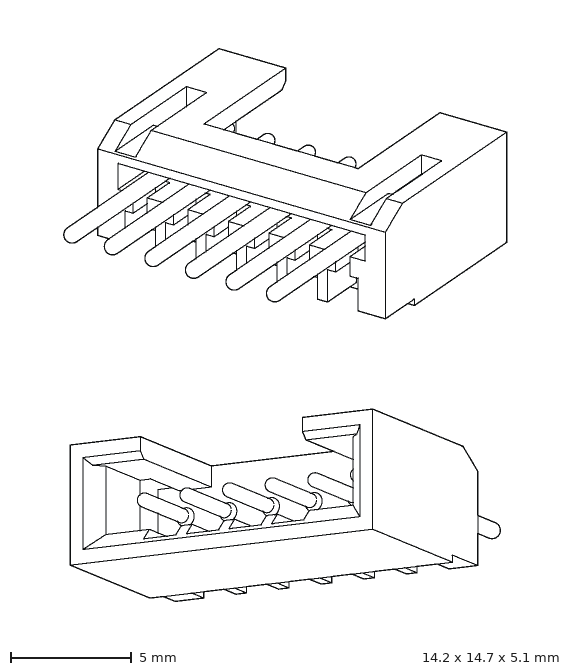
import cadquery as cq
import math

body_width = 14.2
body_depth = 9.2
body_height = 5.1
top_bevel_depth = 1.3
top_bevel_height = 0.8
foot_step_depth = 2.2
foot_step_height = 0.3

pin_count = 6
pin_pitch = 2.0
pin_height = 3.05
tail_radius = 0.35
tail_length = 5.5
contact_radius = 0.3
contact_tip_y = 6.9
collar_radius = 0.4
collar_length = 0.3

cavity_front_y = 3.0
mouth_rim = 0.6
floor_lead_in = 0.7
ceiling_lead_in = 0.3
groove_width = 1.5
groove_depth = 0.5

arm_gap_width = 7.6

recess_depth = foot_step_depth
narrow_slot_depth = 1.7
window_width = 12.2
window_bottom = 2.7
window_top = 3.9
narrow_slot_width = 0.7
wide_slot_width = 1.5
wide_slot_top = 1.8

latch_inner_x = 5.3
latch_width = 1.0
latch_front_y = 0.1
latch_rear_y = 5.5

cavity_floor = mouth_rim + floor_lead_in
cavity_ceiling = body_height - mouth_rim - ceiling_lead_in
cavity_half_width = body_width / 2 - mouth_rim - floor_lead_in
groove_floor = cavity_floor - groove_depth
bevel_base = body_height - top_bevel_height
latch_floor = bevel_base + latch_front_y * top_bevel_height / top_bevel_depth
pin_positions = [(i - (pin_count - 1) / 2) * pin_pitch for i in range(pin_count)]
inner_pin_positions = pin_positions[1:-1]


def block(x_min, x_max, y_min, y_max, z_min, z_max):
    """Axis-aligned box between two opposite corners."""
    size = (x_max - x_min, y_max - y_min, z_max - z_min)
    return cq.Workplane("XY").box(*size, centered=False).translate((x_min, y_min, z_min))


def centred_block(x_centre, width, y_min, y_max, z_min, z_max):
    """Axis-aligned box given by its centre and width along X."""
    return block(x_centre - width / 2, x_centre + width / 2, y_min, y_max, z_min, z_max)


def make_body():
    """Side profile with the front top bevel and the raised front foot, extruded along X."""
    profile = [
        (0, foot_step_height),
        (foot_step_depth, foot_step_height),
        (foot_step_depth, 0),
        (body_depth, 0),
        (body_depth, body_height),
        (top_bevel_depth, body_height),
        (0, bevel_base),
    ]
    return cq.Workplane("YZ").polyline(profile).close().extrude(body_width / 2, both=True)


def mouth_outline(inset):
    """Corner points of the mouth rectangle, with the floor and sides moved inward by the inset."""
    half_width = body_width / 2 - mouth_rim - inset
    bottom = mouth_rim + inset
    top = body_height - mouth_rim
    return [(-half_width, bottom), (half_width, bottom), (half_width, top), (-half_width, top)]


def make_lead_in():
    """Flared mouth at the rear: the floor and side bevels are longer than the ceiling bevel."""
    floor_and_sides = (
        cq.Workplane("XZ", origin=(0, body_depth, 0))
        .polyline(mouth_outline(0))
        .close()
        .workplane(offset=floor_lead_in)
        .polyline(mouth_outline(floor_lead_in))
        .close()
        .loft(ruled=True)
    )
    ceiling_limit = (
        cq.Workplane("YZ")
        .polyline([
            (cavity_front_y, 0),
            (body_depth, 0),
            (body_depth, body_height - mouth_rim),
            (body_depth - ceiling_lead_in, cavity_ceiling),
            (cavity_front_y, cavity_ceiling),
        ])
        .close()
        .extrude(body_width / 2, both=True)
    )
    return floor_and_sides.intersect(ceiling_limit)


def make_cavity():
    """Rear cavity with a flared mouth, floor grooves under the inner pins and the gap between the arms."""
    cavity = centred_block(
        0, 2 * cavity_half_width, cavity_front_y, body_depth, cavity_floor, cavity_ceiling
    )
    cavity = cavity.union(make_lead_in())
    groove_rear_y = body_depth - floor_lead_in + groove_depth
    for x in inner_pin_positions:
        groove = centred_block(
            x, groove_width, cavity_front_y, groove_rear_y, groove_floor, cavity_ceiling
        )
        cavity = cavity.union(groove)
    arm_gap = centred_block(
        0, arm_gap_width, cavity_front_y, body_depth, cavity_floor, body_height
    )
    return cavity.union(arm_gap)


def make_front_recess():
    """Wide window across the front face, with a stepped slot below every pin."""
    recess = centred_block(0, window_width, 0, recess_depth, window_bottom, window_top)
    for x in pin_positions:
        narrow = centred_block(
            x, narrow_slot_width, 0, narrow_slot_depth, wide_slot_top, window_bottom
        )
        wide = centred_block(x, wide_slot_width, 0, recess_depth, 0, wide_slot_top)
        recess = recess.union(narrow).union(wide)
    return recess


def make_latch_channel(side):
    """Shallow channel over the front wall that drops to the cavity floor behind it."""
    x_centre = side * (latch_inner_x + latch_width / 2)
    shallow = centred_block(x_centre, latch_width, 0, cavity_front_y, latch_floor, body_height)
    deep = centred_block(
        x_centre, latch_width, cavity_front_y, latch_rear_y, cavity_floor, body_height
    )
    return shallow.union(deep)


def make_pin(x):
    """Round pin with domed ends and a tapered collar where it leaves the cavity wall."""
    cos_45 = math.cos(math.radians(45))
    tail_end_y = -tail_length
    tail_dome_y = tail_end_y + tail_radius
    contact_dome_y = contact_tip_y - contact_radius
    return (
        cq.Workplane("XY")
        .moveTo(0, tail_end_y)
        .threePointArc(
            (tail_radius * cos_45, tail_dome_y - tail_radius * cos_45),
            (tail_radius, tail_dome_y),
        )
        .lineTo(tail_radius, cavity_front_y)
        .lineTo(collar_radius, cavity_front_y)
        .lineTo(contact_radius, cavity_front_y + collar_length)
        .lineTo(contact_radius, contact_dome_y)
        .threePointArc(
            (contact_radius * cos_45, contact_dome_y + contact_radius * cos_45),
            (0, contact_tip_y),
        )
        .close()
        .revolve(360, (0, 0, 0), (0, 1, 0))
        .translate((x, 0, pin_height))
    )


result = make_body().cut(make_cavity()).cut(make_front_recess())
for side in (-1, 1):
    result = result.cut(make_latch_channel(side))
for x in pin_positions:
    result = result.union(make_pin(x))